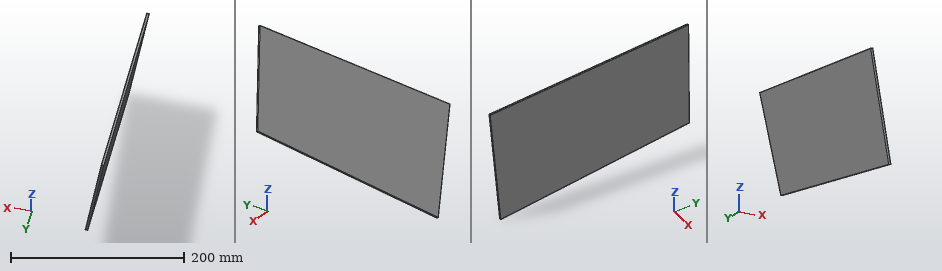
import cadquery as cq

thickness = 3.0

near_y = 0
near_bottom_z = 0
near_top_z = 137.5
far_top_y = 269
far_top_z = 159.3
far_bottom_y = 257.2
far_bottom_z = 34.5

near_bottom_x = 25.3
near_top_x = 1.5
far_top_x = 0
slope_along_z = (near_top_x - near_bottom_x) / (near_top_z - near_bottom_z)
far_top_rise = far_top_z - near_bottom_z
slope_along_y = (far_top_x - near_bottom_x - slope_along_z * far_top_rise) / (far_top_y - near_y)


def face_point(y, z):
    """Point on the tilted outer face at the given Y and Z."""
    x = near_bottom_x + slope_along_y * (y - near_y) + slope_along_z * (z - near_bottom_z)
    return cq.Vector(x, y, z)


corners = [
    face_point(near_y, near_bottom_z),
    face_point(near_y, near_top_z),
    face_point(far_top_y, far_top_z),
    face_point(far_bottom_y, far_bottom_z),
]

face_normal = cq.Vector(1, -slope_along_y, -slope_along_z).normalized()
outline = cq.Wire.makePolygon(corners, close=True)
plate = cq.Solid.extrudeLinear(outline, [], face_normal * thickness)

result = cq.Workplane("XY").newObject([plate])